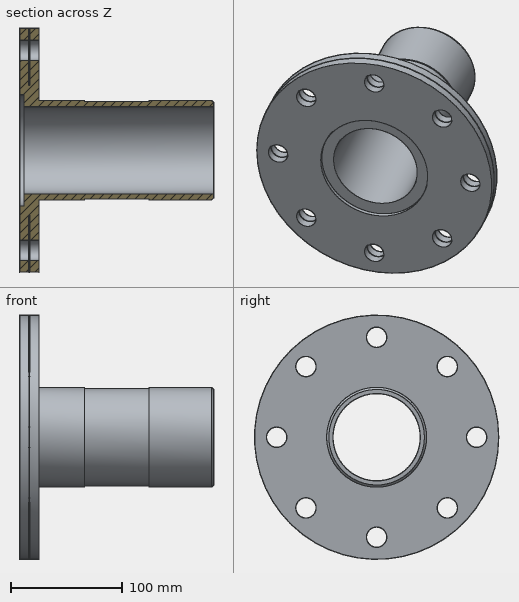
import cadquery as cq

flange_diameter = 220.0
flange_stack = 17.5
gap_start = 8.4
gap_width = 0.7
raised_face_diameter = 117.0

bolt_count = 8
bolt_hole_diameter = 18.0
bolt_circle_diameter = 180.0

total_length = 175.0
pipe_diameter = 90.0
bore_diameter = 78.3
end_chamfer = 2.0

waist_diameter = 88.2
waist_start = 58.5
waist_end = 116.5

recess_diameter = 100.0
recess_depth = 4.0


def cylinder(diameter, start, end):
    """Cylinder about the X axis between two X positions."""
    return cq.Workplane("YZ", origin=(start, 0, 0)).circle(diameter / 2).extrude(end - start)


def ring(outer_diameter, inner_diameter, start, end):
    """Ring about the X axis between two X positions."""
    return cylinder(outer_diameter, start, end).cut(cylinder(inner_diameter, start, end))


def bolt_holes():
    """Equally spaced cutters through both flanges, one of them on the Y axis."""
    return (
        cq.Workplane("YZ")
        .polarArray(bolt_circle_diameter / 2, 0, 360, bolt_count)
        .circle(bolt_hole_diameter / 2)
        .extrude(flange_stack)
    )


pipe = cylinder(pipe_diameter, 0, total_length).faces(">X").chamfer(end_chamfer)
pipe = pipe.cut(ring(pipe_diameter, waist_diameter, waist_start, waist_end))

flanges = cylinder(flange_diameter, 0, flange_stack)
flanges = flanges.cut(ring(flange_diameter, raised_face_diameter, gap_start, gap_start + gap_width))
flanges = flanges.cut(bolt_holes())

result = (
    flanges.union(pipe)
    .cut(cylinder(bore_diameter, 0, total_length))
    .cut(cylinder(recess_diameter, 0, recess_depth))
)